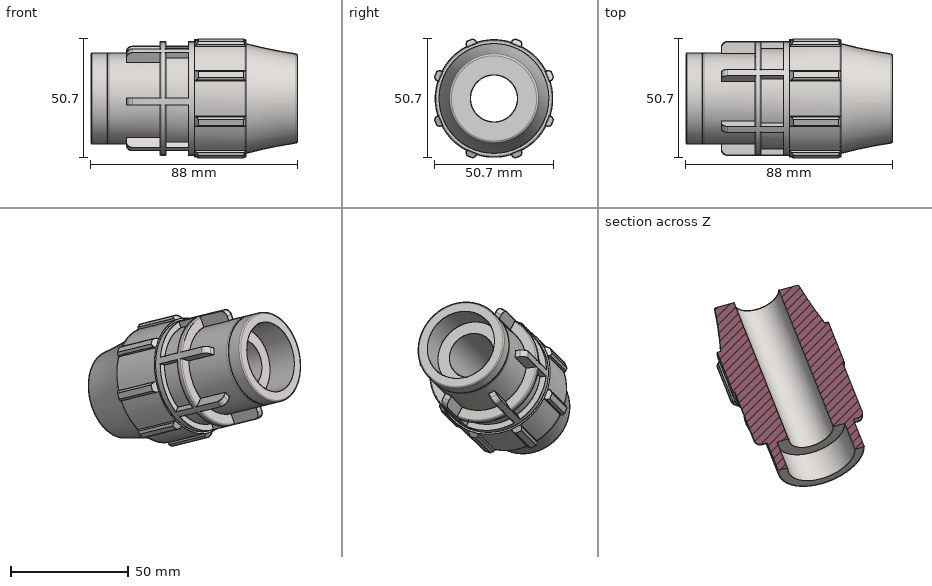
import cadquery as cq
import math

length = 88.0
edge_round = 0.5

spigot_radius = 38.9 / 2
groove_x = 6.95

flange_radius = 48.6 / 2
ring_start = 29.3
ring_end = 31.9
neck_radius = 21.6
collar_start = 41.45

rib_count = 6
rib_start = 15.0
rib_thickness = 3.0
rib_shift = 1.2
rib_nose_round = 2.7
rib_pitch = 360 / rib_count

nut_start = 44.1
nut_end = 66.0
nut_radius = 25.1

lug_count = 8
lug_height = 26.9
lug_shoulder_height = 25.9
lug_top_width = 2.7
lug_base_width = 4.5
lug_lead_run = 1.7
lug_tail_run = 1.1

taper_start_radius = 23.4
taper_end_radius = 18.9
taper_hollow = 0.35
taper_edge_round = 0.9

socket_diameter = 30.3
socket_depth = 14.0
bore_diameter = 20.0

round_middle = edge_round * (1 - math.sqrt(0.5))


def rounded_rise(profile, x, radius):
    """From the foot of a left-hand edge at x, round over onto the given radius."""
    return profile.threePointArc(
        (x + round_middle, radius - round_middle), (x + edge_round, radius)
    )


def rounded_fall(profile, x, radius):
    """Run along the given radius to a right-hand edge at x and round it over."""
    return profile.lineTo(x - edge_round, radius).threePointArc(
        (x - round_middle, radius - round_middle), (x, radius - edge_round)
    )


def make_body():
    """Solid of revolution holding the spigot, ring, neck, collar, nut and taper."""
    profile = cq.Workplane("XY").moveTo(0, 0).lineTo(0, spigot_radius - edge_round)
    profile = rounded_rise(profile, 0, spigot_radius)
    profile = rounded_fall(profile, groove_x, spigot_radius)
    profile = rounded_rise(profile, groove_x, spigot_radius)
    profile = profile.lineTo(ring_start, spigot_radius).lineTo(ring_start, flange_radius - edge_round)
    profile = rounded_rise(profile, ring_start, flange_radius)
    profile = rounded_fall(profile, ring_end, flange_radius)
    profile = (
        profile.lineTo(ring_end, neck_radius)
        .lineTo(collar_start, neck_radius)
        .lineTo(collar_start, flange_radius)
        .lineTo(nut_start, flange_radius)
        .lineTo(nut_start, nut_radius)
    )
    profile = rounded_fall(profile, nut_end, nut_radius)
    taper_middle = (
        (nut_end + length) / 2,
        (taper_start_radius + taper_end_radius) / 2 - taper_hollow,
    )
    profile = (
        profile.lineTo(nut_end, taper_start_radius)
        .threePointArc(taper_middle, (length, taper_end_radius))
        .lineTo(length, 0)
        .close()
    )
    body = profile.revolve(360, (0, 0, 0), (1, 0, 0))
    body = body.faces(">X").edges().fillet(taper_edge_round)
    return body.rotate((0, 0, 0), (1, 0, 0), rib_pitch / 2)


def make_ribs():
    """Offset ribs from the barrel to the collar, flush with the ring, with rounded noses."""
    nose_middle = rib_nose_round * (1 - math.sqrt(0.5))
    root_radius = spigot_radius - edge_round
    sleeve = (
        cq.Workplane("XY")
        .moveTo(rib_start, root_radius)
        .lineTo(rib_start, flange_radius - rib_nose_round)
        .threePointArc(
            (rib_start + nose_middle, flange_radius - nose_middle),
            (rib_start + rib_nose_round, flange_radius),
        )
        .lineTo(nut_start, flange_radius)
        .lineTo(nut_start, root_radius)
        .close()
        .revolve(360, (0, 0, 0), (1, 0, 0))
    )
    plate = cq.Workplane("XY").box(
        nut_start, flange_radius, rib_thickness, centered=(False, False, True)
    ).translate((0, -flange_radius, -rib_shift))
    rib = sleeve.intersect(plate)
    ribs = rib
    for index in range(1, rib_count):
        ribs = ribs.union(rib.rotate((0, 0, 0), (1, 0, 0), index * rib_pitch))
    return ribs


def make_lugs():
    """Grip lugs with sloped flanks and ends, placed evenly between the Y and Z axes."""
    root = nut_radius - 2 * edge_round
    section = (
        cq.Workplane("YZ")
        .polyline([
            (-lug_base_width / 2, root),
            (-lug_base_width / 2, lug_shoulder_height),
            (-lug_top_width / 2, lug_height),
            (lug_top_width / 2, lug_height),
            (lug_base_width / 2, lug_shoulder_height),
            (lug_base_width / 2, root),
        ])
        .close()
        .extrude(length)
    )
    side = (
        cq.Workplane("XZ")
        .polyline([
            (nut_start, root),
            (nut_start, nut_radius),
            (nut_start + lug_lead_run, lug_height),
            (nut_end - lug_tail_run, lug_height),
            (nut_end, nut_radius - edge_round),
            (nut_end, root),
        ])
        .close()
        .extrude(lug_base_width, both=True)
    )
    lug = section.intersect(side)
    pitch = 360 / lug_count
    lugs = cq.Workplane("XY")
    for index in range(lug_count):
        lugs = lugs.add(lug.rotate((0, 0, 0), (1, 0, 0), (index + 0.5) * pitch))
    return lugs.combine()


def make_bore():
    """Stepped bore: a socket in the spigot and a smaller hole right through."""
    socket = cq.Workplane("YZ").circle(socket_diameter / 2).extrude(socket_depth)
    through = cq.Workplane("YZ").circle(bore_diameter / 2).extrude(length)
    return socket.union(through)


result = make_body().union(make_ribs()).union(make_lugs()).cut(make_bore())